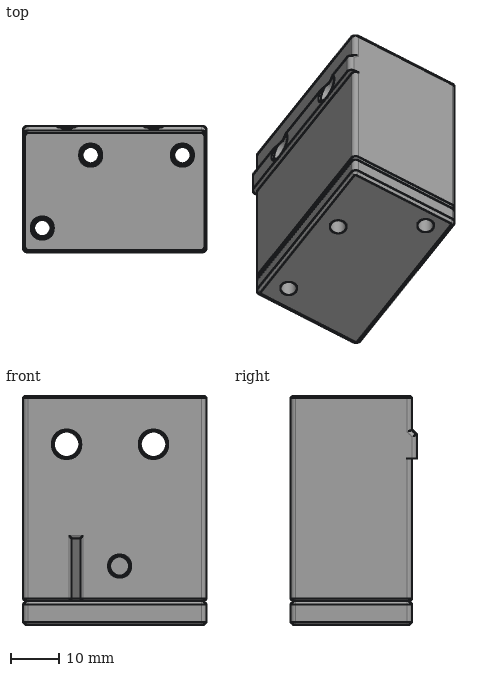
import cadquery as cq
import math

WIDTH = 38.05
DEPTH_WITH_RIDGE = 26.2
HEIGHT = 47.5
PLATE_HEIGHT = 5.05
CORNER_RADIUS = 1.05
HOUSING_CHAMFER = 0.48
PLATE_CHAMFER = 0.7

RIDGE_HEIGHT = 1.0
RIDGE_TOP = 40.45
RIDGE_BOTTOM = 34.5
BODY_DEPTH = DEPTH_WITH_RIDGE - RIDGE_HEIGHT

COUNTERSINK = 0.4

MOUNT_DIAMETER = 5.3
MOUNT_X = (-9.98, 8.05)
MOUNT_Z = 37.5

SCREW_DIAMETER = 4.0
PLATE_SCREW_DIAMETER = 3.4
SCREW_POSITIONS = ((-5.0, 20.15), (14.0, 20.15), (-15.0, 5.05))

PORT_DIAMETER = SCREW_DIAMETER
PORT_X = 1.0
PORT_Z = 12.25
PORT_DEPTH = 8.0

SLOT_X = -8.05
SLOT_WIDTH = 1.8
SLOT_MOUTH_RADIUS = 0.55
SLOT_TOP = 18.0
SLOT_DEPTH = 4.0


def rounded_block(bottom, top):
    """Block of the common footprint with rounded vertical edges."""
    return (
        cq.Workplane("XY", origin=(0, BODY_DEPTH / 2, bottom))
        .rect(WIDTH, BODY_DEPTH)
        .extrude(top - bottom)
        .edges("|Z")
        .fillet(CORNER_RADIUS)
    )


def countersunk_tool(diameter, length):
    """Cutter along +Z from the origin with a 45 degree countersink at its start."""
    radius = diameter / 2
    return (
        cq.Workplane("XZ")
        .lineTo(radius + COUNTERSINK, 0)
        .lineTo(radius, COUNTERSINK)
        .lineTo(radius, length)
        .lineTo(0, length)
        .close()
        .revolve(360, (0, 0), (0, 1))
    )


def drill_from_front(housing, tool, x, z):
    """Cut the tool into the housing from the front face toward the rear."""
    return housing.cut(tool.rotate((0, 0, 0), (1, 0, 0), -90).translate((x, 0, z)))


def drill_from_rear(housing, tool, x, z):
    """Cut the tool into the housing from the ridge face toward the front."""
    return housing.cut(tool.rotate((0, 0, 0), (1, 0, 0), 90).translate((x, DEPTH_WITH_RIDGE, z)))


def drill_from_top(housing, tool, x, y):
    """Cut the tool into the housing from the top face downward."""
    return housing.cut(tool.rotate((0, 0, 0), (1, 0, 0), 180).translate((x, y, HEIGHT)))


def rear_ridge():
    """Ridge with a 45 degree top slope and rounded ends."""
    root_y = BODY_DEPTH - CORNER_RADIUS
    ridge = (
        cq.Workplane("YZ", origin=(-WIDTH / 2, 0, 0))
        .moveTo(root_y, RIDGE_BOTTOM)
        .lineTo(DEPTH_WITH_RIDGE, RIDGE_BOTTOM)
        .lineTo(DEPTH_WITH_RIDGE, RIDGE_TOP - RIDGE_HEIGHT)
        .lineTo(BODY_DEPTH, RIDGE_TOP)
        .lineTo(root_y, RIDGE_TOP)
        .close()
        .extrude(WIDTH)
    )
    end_edges = cq.selectors.BoxSelector(
        (-WIDTH, BODY_DEPTH + RIDGE_HEIGHT / 4, RIDGE_BOTTOM + RIDGE_HEIGHT),
        (WIDTH, DEPTH_WITH_RIDGE + RIDGE_HEIGHT, RIDGE_TOP),
    )
    return ridge.edges(end_edges).edges("not |X").fillet(CORNER_RADIUS)


def slot_tool():
    """Cutter for the front slot: its plan outline crossed with its side outline."""
    half_width = SLOT_WIDTH / 2
    half_mouth = half_width + SLOT_MOUTH_RADIUS
    mouth_top = SLOT_TOP + SLOT_MOUTH_RADIUS
    back = SLOT_DEPTH + SLOT_WIDTH
    arc_reach = SLOT_MOUTH_RADIUS * (1 - math.sqrt(0.5))
    plan = (
        cq.Workplane("XY", origin=(SLOT_X, 0, PLATE_HEIGHT))
        .moveTo(-half_mouth, 0)
        .lineTo(half_mouth, 0)
        .threePointArc((half_width + arc_reach, arc_reach), (half_width, SLOT_MOUTH_RADIUS))
        .lineTo(half_width, SLOT_DEPTH)
        .lineTo(-half_width, back)
        .lineTo(-half_width, SLOT_MOUTH_RADIUS)
        .threePointArc((-half_width - arc_reach, arc_reach), (-half_mouth, 0))
        .close()
        .extrude(mouth_top - PLATE_HEIGHT)
    )
    side = (
        cq.Workplane("YZ", origin=(SLOT_X - half_mouth, 0, 0))
        .moveTo(0, PLATE_HEIGHT)
        .lineTo(0, mouth_top)
        .threePointArc((arc_reach, SLOT_TOP + arc_reach), (SLOT_MOUTH_RADIUS, SLOT_TOP))
        .lineTo(back, SLOT_TOP)
        .lineTo(back, PLATE_HEIGHT)
        .close()
        .extrude(2 * half_mouth)
    )
    return plan.intersect(side)


def make_housing():
    """Main block with its slot, rear ridge and drilled holes."""
    housing = rounded_block(PLATE_HEIGHT, HEIGHT).cut(slot_tool())
    housing = housing.faces("<Z or >Z").chamfer(HOUSING_CHAMFER)
    housing = housing.union(rear_ridge())
    mount_tool = countersunk_tool(MOUNT_DIAMETER, DEPTH_WITH_RIDGE - COUNTERSINK)
    for x in MOUNT_X:
        housing = drill_from_front(housing, mount_tool, x, MOUNT_Z)
        housing = drill_from_rear(housing, mount_tool, x, MOUNT_Z)
    screw_tool = countersunk_tool(SCREW_DIAMETER, HEIGHT - PLATE_HEIGHT)
    for x, y in SCREW_POSITIONS:
        housing = drill_from_top(housing, screw_tool, x, y)
    return drill_from_front(housing, countersunk_tool(PORT_DIAMETER, PORT_DEPTH), PORT_X, PORT_Z)


def make_base_plate():
    """Plate under the housing, with the narrow ends of the screw holes."""
    plate = rounded_block(0, PLATE_HEIGHT).faces("<Z or >Z").chamfer(PLATE_CHAMFER)
    holes = (
        cq.Workplane("XY")
        .pushPoints(SCREW_POSITIONS)
        .circle(PLATE_SCREW_DIAMETER / 2)
        .extrude(PLATE_HEIGHT)
    )
    return plate.cut(holes)


housing = make_housing()
base_plate = make_base_plate()

result = cq.Compound.makeCompound([housing.val(), base_plate.val()])